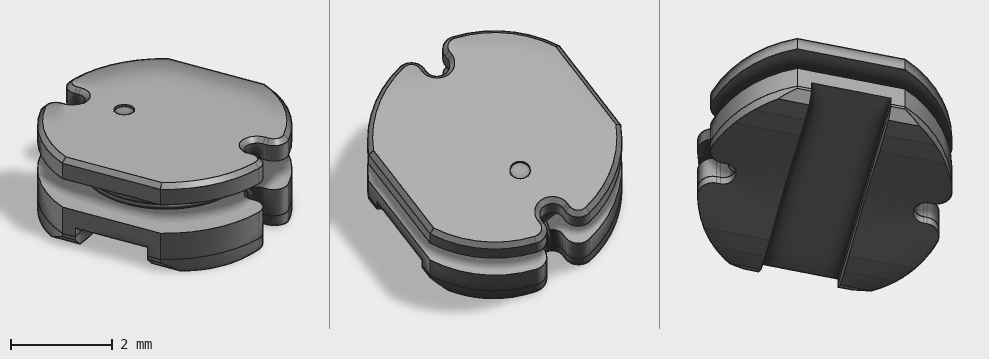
import cadquery as cq
import math


total_height = 2.0
flange_radius = 2.5
flange_width_y = 4.5
cap_thickness = 0.45
cap_chamfer = 0.1
base_top = 0.9
hub_radius = 0.9

notch_half_width = 0.25
notch_center_x = 2.05
notch_lip_radius = 0.3

mark_center_x = -0.9
mark_radius = 0.2
mark_depth = 0.05

slot_half_width = 0.8
slot_top = 0.5
terminal_top = 0.3

foot_chamfer_top = 0.225
foot_chamfer_bottom = 0.03
foot_chamfer_width = 0.2
foot_contact_y = 1.3
foot_arch_height = 0.09

wire_diameter = 0.1
winding_clearance = 0.001
outer_layer_radius = 1.6
outer_turns = 5
inner_turns = 4
winding_start_z = 0.96
crossover_rise = 0.025
crossover_turns = 0.05
path_points_per_turn = 40

lead_x = 1.9
lead_straight_bottom = 0.48
lead_foot_radius = 0.24
left_lead_z = 0.99
left_shoulder_radius = 0.2
right_lead_z = 0.97
right_shoulder_radius = 0.15
left_lead_swing = 15.0

cap_bottom = total_height - cap_thickness
flat_y = flange_width_y / 2
flat_half_length = math.sqrt(flange_radius**2 - flat_y**2)

lip_center_y = notch_half_width + notch_lip_radius
lip_center_x = math.sqrt((flange_radius - notch_lip_radius) ** 2 - lip_center_y**2)
lip_rim_scale = flange_radius / (flange_radius - notch_lip_radius)
notch_tip_x = notch_center_x - notch_half_width

wire_radius = wire_diameter / 2
layer_pitch = wire_diameter + winding_clearance
inner_layer_radius = outer_layer_radius - layer_pitch
winding_outside_radius = outer_layer_radius + wire_radius


def lip_middle(side_x, side_y):
    """Point halfway along the rounding between a notch and the rim."""
    rim_angle = math.atan2(lip_center_y, lip_center_x)
    angle = (rim_angle - math.pi / 2) / 2
    return (
        side_x * (lip_center_x + notch_lip_radius * math.cos(angle)),
        side_y * (lip_center_y + notch_lip_radius * math.sin(angle)),
    )


def rim_end(side_x, side_y):
    """Point where the rounding of a notch meets the rim."""
    return (side_x * lip_center_x * lip_rim_scale, side_y * lip_center_y * lip_rim_scale)


def rim_middle(side_x, side_y):
    """Point about halfway along the rim between a notch and a flat."""
    angle = (math.atan2(lip_center_y, lip_center_x) + math.atan2(flat_y, flat_half_length)) / 2
    return (side_x * flange_radius * math.cos(angle), side_y * flange_radius * math.sin(angle))


def flange(bottom, top):
    """Flange with two flats and two wire notches."""
    outline = cq.Workplane("XY", origin=(0, 0, bottom)).moveTo(-flat_half_length, -flat_y)
    for side in (1, -1):
        outline = (
            outline.lineTo(side * flat_half_length, -side * flat_y)
            .threePointArc(rim_middle(side, -side), rim_end(side, -side))
            .threePointArc(lip_middle(side, -side), (side * lip_center_x, -side * notch_half_width))
            .lineTo(side * notch_center_x, -side * notch_half_width)
            .threePointArc((side * notch_tip_x, 0), (side * notch_center_x, side * notch_half_width))
            .lineTo(side * lip_center_x, side * notch_half_width)
            .threePointArc(lip_middle(side, side), rim_end(side, side))
            .threePointArc(rim_middle(side, side), (side * flat_half_length, side * flat_y))
        )
    return outline.close().extrude(top - bottom)


def foot_envelope():
    """Prism along X whose underside is the sloped and gently waved sole of the feet."""
    sole_end_y = flat_y - foot_chamfer_width
    return (
        cq.Workplane("YZ")
        .moveTo(-flat_y, base_top)
        .lineTo(-flat_y, foot_chamfer_top)
        .lineTo(-sole_end_y, foot_chamfer_bottom)
        .spline(
            [
                (-foot_contact_y, 0),
                (0, foot_arch_height),
                (foot_contact_y, 0),
                (sole_end_y, foot_chamfer_bottom),
            ],
            includeCurrent=True,
        )
        .lineTo(flat_y, foot_chamfer_top)
        .lineTo(flat_y, base_top)
        .close()
        .extrude(flange_radius, both=True)
    )


def foot_slot():
    """Slot along Y that separates the two feet."""
    return cq.Workplane("XY").box(
        2 * slot_half_width, flange_width_y, slot_top, centered=(True, True, False)
    )


def make_core():
    """Both flanges and the hub between them, cut off above the terminals."""
    cap = flange(cap_bottom, total_height).faces(">Z").chamfer(cap_chamfer)
    mark = (
        cq.Workplane("XY", origin=(mark_center_x, 0, total_height - mark_depth))
        .circle(mark_radius)
        .extrude(mark_depth)
    )
    hub = cq.Workplane("XY", origin=(0, 0, base_top)).circle(hub_radius).extrude(cap_bottom - base_top)
    base = flange(terminal_top, base_top).cut(foot_slot())
    return base.union(hub).union(cap.cut(mark))


def make_terminals():
    """The two terminals, which form the lower ends of the feet."""
    return flange(0, terminal_top).intersect(foot_envelope()).cut(foot_slot())


def winding_point(turn):
    """Wire center: the outer layer climbs clockwise, then the inner layer goes back down."""
    outer_top = winding_start_z + outer_turns * layer_pitch
    inner_top = outer_top + crossover_rise
    if turn <= outer_turns:
        radius = outer_layer_radius
        z = winding_start_z + turn * layer_pitch
    elif turn < outer_turns + crossover_turns:
        progress = (turn - outer_turns) / crossover_turns
        blend = (1 - math.cos(math.pi * progress)) / 2
        radius = outer_layer_radius - blend * layer_pitch
        z = outer_top + blend * crossover_rise
    else:
        radius = inner_layer_radius
        z = inner_top - (turn - outer_turns - crossover_turns) * layer_pitch
    angle = -2 * math.pi * turn
    return cq.Vector(radius * math.cos(angle), radius * math.sin(angle), z)


def make_winding():
    """Two-layer winding swept as one continuous wire."""
    turns = outer_turns + crossover_turns + inner_turns
    steps = round(turns * path_points_per_turn)
    path = cq.Edge.makeSpline([winding_point(turns * step / steps) for step in range(steps + 1)])
    start = cq.Plane(origin=path.startPoint(), normal=path.tangentAt(0))
    return cq.Workplane(start).circle(wire_radius).sweep(cq.Workplane(obj=path), isFrenet=True)


def make_lead(side, top_z, shoulder_radius, swing_degrees):
    """Wire from the winding down through a notch and into the terminal."""
    swing = math.radians(swing_degrees)
    inward_x = -side * math.cos(swing)
    inward_y = -math.sin(swing)
    arc_middle = 1 - math.sqrt(0.5)

    def shoulder_point(inward, z):
        return cq.Vector(side * lead_x + inward * inward_x, inward * inward_y, z)

    def foot_point(inward, z):
        return cq.Vector(side * (lead_x - inward), 0, z)

    shoulder_bottom = top_z - shoulder_radius
    shoulder_start = shoulder_point(shoulder_radius, top_z)
    shoulder_middle = shoulder_point(
        arc_middle * shoulder_radius, top_z - arc_middle * shoulder_radius
    )
    shoulder_end = shoulder_point(0, shoulder_bottom)
    foot_bottom = lead_straight_bottom - lead_foot_radius
    foot_start = foot_point(0, lead_straight_bottom)
    foot_middle = foot_point(arc_middle * lead_foot_radius, foot_bottom + arc_middle * lead_foot_radius)
    foot_end = foot_point(lead_foot_radius, foot_bottom)
    end_x = winding_outside_radius + wire_radius * math.sin(swing)
    inner_end = shoulder_point((lead_x - end_x) / math.cos(swing), top_z)

    path = cq.Wire.assembleEdges(
        [
            cq.Edge.makeLine(inner_end, shoulder_start),
            cq.Edge.makeThreePointArc(shoulder_start, shoulder_middle, shoulder_end),
            cq.Edge.makeLine(shoulder_end, foot_start),
            cq.Edge.makeThreePointArc(foot_start, foot_middle, foot_end),
        ]
    )
    start = cq.Plane(origin=inner_end, normal=shoulder_start - inner_end)
    return cq.Workplane(start).circle(wire_radius).sweep(cq.Workplane(obj=path))


core = make_core()
terminals = make_terminals()
winding = make_winding()
leads = [
    make_lead(-1, left_lead_z, left_shoulder_radius, left_lead_swing),
    make_lead(1, right_lead_z, right_shoulder_radius, 0),
]

for lead in leads:
    core = core.cut(lead)
    terminals = terminals.cut(lead)

result = cq.Compound.makeCompound(
    [core.val(), *terminals.vals(), winding.val(), *[lead.val() for lead in leads]]
)